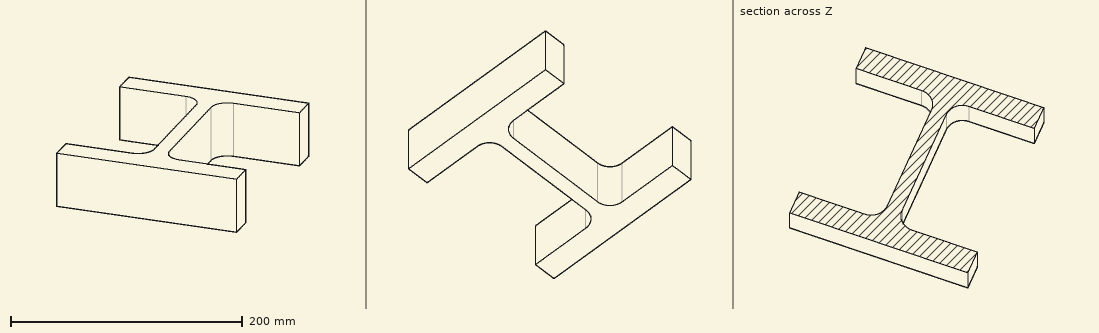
import cadquery as cq

flange_width = 166.0
section_depth = 180.0
length = 50.0
flange_thickness = 23.0
web_thickness = 14.0
root_radius = 15.0

web_height = section_depth - 2 * flange_thickness
flange_offset = (section_depth - flange_thickness) / 2


def make_flange(side):
    """Flange plate on the +Y (side = 1) or -Y (side = -1) end of the web."""
    return (
        cq.Workplane("XY")
        .center(0, side * flange_offset)
        .rect(flange_width, flange_thickness)
        .extrude(length)
    )


def make_web():
    """Central plate joining the two flanges."""
    return cq.Workplane("XY").rect(web_thickness, web_height).extrude(length)


def round_roots(section):
    """Fillet the four inner corners where the web meets the flanges."""
    root_corners = cq.selectors.BoxSelector(
        (-web_thickness, -section_depth / 2, 0),
        (web_thickness, section_depth / 2, length),
    )
    return section.edges("|Z").edges(root_corners).fillet(root_radius)


section = make_web().union(make_flange(1)).union(make_flange(-1))
result = round_roots(section)